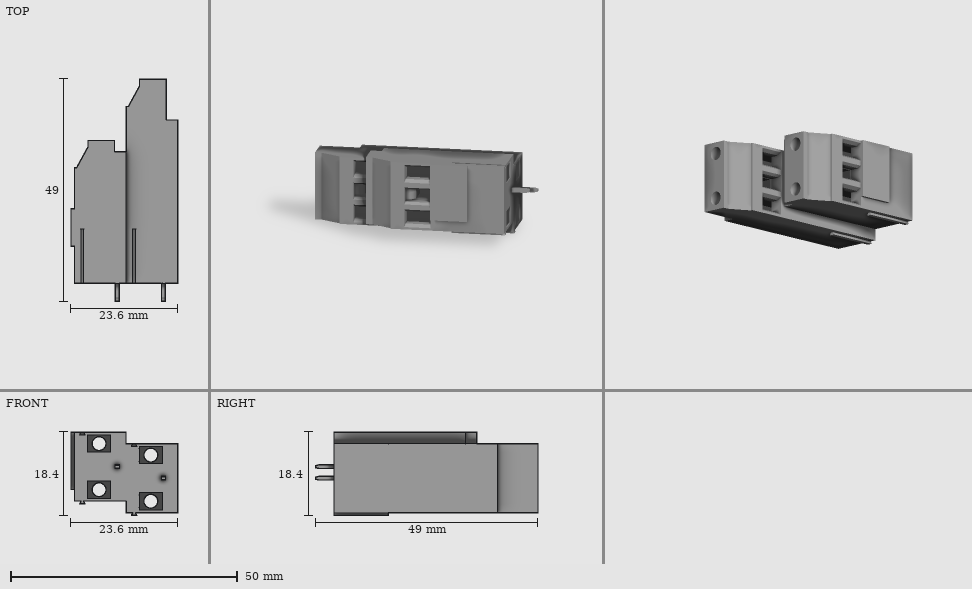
import cadquery as cq


PITCH = 5.08
HOUSING_WIDTH = 11.4
HOUSING_HEIGHT = 3 * PITCH
MID_HEIGHT = HOUSING_HEIGHT / 2
TIER_DROP = PITCH / 2
SHORT_LENGTH = 31.5
LONG_LENGTH = 45.0
SHORT_SHOULDER = 29.0
LONG_SHOULDER = 36.0

NOSE_LEFT = 2.95
NOSE_RIGHT = 8.85
NOSE_CORNER_INSET = 0.5
TAPER_START_FROM_REAR = 6.0
TAPER_END_FROM_REAR = 1.5

CHAMBER_X = 2.92
CHAMBER_WIDTH = 5.05
CHAMBER_HEIGHT = 3.8
CHAMBER_PAST_WINDOW = 1.0
BORE_DIAMETER = 3.0

WINDOW_END_FROM_REAR = 9.2
WINDOW_LENGTH = 5.85
FUNNEL_SLOPE = 0.575
CABLE_WINDOW_OUTER = 4.0
CABLE_WINDOW_INNER = 2.85
CLAMP_WINDOW_OUTER = 3.85
CLAMP_WINDOW_INNER = 2.95

POST_DIAMETER = 4.0
POST_HEIGHT = 2.4
POST_X = 3.5
POST_FLAT_X = 1.65
RECESS_HEIGHT = 2.65
RECESS_LENGTH = 3.45
RECESS_END_GAP = 0.4

DOVETAIL_X = 1.75
DOVETAIL_NECK = 0.6
DOVETAIL_BASE = 1.2
DOVETAIL_HEIGHT = 0.6
DOVETAIL_LENGTH = 12.0

PAD_THICKNESS = 0.75
PAD_HEIGHT = 2.5 * PITCH
PAD_START = 8.15

PIN_X = 9.45
PIN_PITCH = 2 * PITCH
PIN_SIZE = 0.9
PIN_TIP_HEIGHT = 0.5
PIN_LENGTH = 4.0
PIN_TIP_LENGTH = 0.8


def box(x, y, z, width, length, height):
    """Box from its minimum corner and its X, Y and Z sizes."""
    return cq.Workplane("XY").box(width, length, height, centered=False).translate((x, y, z))


def housing_body(length, shoulder):
    taper_start = length - TAPER_START_FROM_REAR
    outline = [
        (0, 0),
        (HOUSING_WIDTH, 0),
        (HOUSING_WIDTH, shoulder),
        (NOSE_RIGHT, shoulder),
        (NOSE_RIGHT, length),
        (NOSE_LEFT, length),
        (NOSE_LEFT, length - TAPER_END_FROM_REAR),
        (NOSE_CORNER_INSET, taper_start),
        (0, taper_start),
    ]
    return cq.Workplane("XY").polyline(outline).close().extrude(HOUSING_HEIGHT)


def dovetail(top):
    """Dovetail prism widening downward from the height `top`."""
    bottom = top - DOVETAIL_HEIGHT
    section = [
        (DOVETAIL_X - DOVETAIL_NECK / 2, top),
        (DOVETAIL_X + DOVETAIL_NECK / 2, top),
        (DOVETAIL_X + DOVETAIL_BASE / 2, bottom),
        (DOVETAIL_X - DOVETAIL_BASE / 2, bottom),
    ]
    return cq.Workplane("XZ").polyline(section).close().extrude(-DOVETAIL_LENGTH)


def funnel_window(start, center_z, outer, inner):
    """Side opening that narrows in Z at the funnel slope, then runs in to the chamber wall."""
    funnel_depth = (outer - inner) / 2 / FUNNEL_SLOPE
    section = [
        (0, center_z - outer / 2),
        (funnel_depth, center_z - inner / 2),
        (CHAMBER_X, center_z - inner / 2),
        (CHAMBER_X, center_z + inner / 2),
        (funnel_depth, center_z + inner / 2),
        (0, center_z + outer / 2),
    ]
    prism = cq.Workplane("XZ").polyline(section).close().extrude(-WINDOW_LENGTH)
    return prism.translate((0, start, 0))


def cable_passage(length, window_start, center_z):
    """Front chamber, its side window and the bore running on to the rear."""
    chamber_length = window_start + WINDOW_LENGTH + CHAMBER_PAST_WINDOW
    chamber = box(CHAMBER_X, 0, center_z - CHAMBER_HEIGHT / 2,
                  CHAMBER_WIDTH, chamber_length, CHAMBER_HEIGHT)
    bore = (
        cq.Workplane("XZ")
        .center(CHAMBER_X + CHAMBER_WIDTH / 2, center_z)
        .circle(BORE_DIAMETER / 2)
        .extrude(-length)
    )
    window = funnel_window(window_start, center_z, CABLE_WINDOW_OUTER, CABLE_WINDOW_INNER)
    return chamber.union(bore).union(window)


def clamp_opening(window_start):
    """Middle window with a rectangular recess in its back wall."""
    window = funnel_window(window_start, MID_HEIGHT, CLAMP_WINDOW_OUTER, CLAMP_WINDOW_INNER)
    recess = box(CHAMBER_X, window_start + RECESS_END_GAP, MID_HEIGHT - RECESS_HEIGHT / 2,
                 CHAMBER_WIDTH, RECESS_LENGTH, RECESS_HEIGHT)
    return window.union(recess)


def clamp_post(window_start):
    """Upright round post with a flat on its -X side, half set in the end wall of the middle window."""
    radius = POST_DIAMETER / 2
    center_y = window_start + WINDOW_LENGTH
    base_z = MID_HEIGHT - POST_HEIGHT / 2
    post = (
        cq.Workplane("XY", origin=(POST_X, center_y, base_z))
        .circle(radius)
        .extrude(POST_HEIGHT)
    )
    keep = box(POST_FLAT_X, center_y - radius, base_z,
               CHAMBER_X - POST_FLAT_X, POST_DIAMETER, POST_HEIGHT)
    return post.intersect(keep)


def housing(length, shoulder):
    window_start = length - WINDOW_END_FROM_REAR - WINDOW_LENGTH
    body = housing_body(length, shoulder)
    for center_z in (MID_HEIGHT - PITCH, MID_HEIGHT + PITCH):
        body = body.cut(cable_passage(length, window_start, center_z))
    body = body.cut(clamp_opening(window_start)).union(clamp_post(window_start))
    return body.cut(dovetail(HOUSING_HEIGHT)).union(dovetail(0))


def side_pad():
    pad_end = SHORT_LENGTH - WINDOW_END_FROM_REAR - WINDOW_LENGTH
    return box(-PAD_THICKNESS, PAD_START, HOUSING_HEIGHT - PAD_HEIGHT,
               PAD_THICKNESS, pad_end - PAD_START, PAD_HEIGHT)


def solder_pin(center_x, center_z):
    """Square pin whose tip tapers in Z."""
    half_size = PIN_SIZE / 2
    half_tip = PIN_TIP_HEIGHT / 2
    taper_y = PIN_TIP_LENGTH - PIN_LENGTH
    section = [
        (0, center_z - half_size),
        (taper_y, center_z - half_size),
        (-PIN_LENGTH, center_z - half_tip),
        (-PIN_LENGTH, center_z + half_tip),
        (taper_y, center_z + half_size),
        (0, center_z + half_size),
    ]
    prism = cq.Workplane("YZ").polyline(section).close().extrude(PIN_SIZE)
    return prism.translate((center_x - half_size, 0, 0))


short_housing = housing(SHORT_LENGTH, SHORT_SHOULDER)
long_housing = housing(LONG_LENGTH, LONG_SHOULDER).translate((HOUSING_WIDTH, 0, -TIER_DROP))

result = short_housing.union(long_housing).union(side_pad())
for tier in range(2):
    result = result.union(solder_pin(PIN_X + tier * PIN_PITCH, MID_HEIGHT - tier * TIER_DROP))